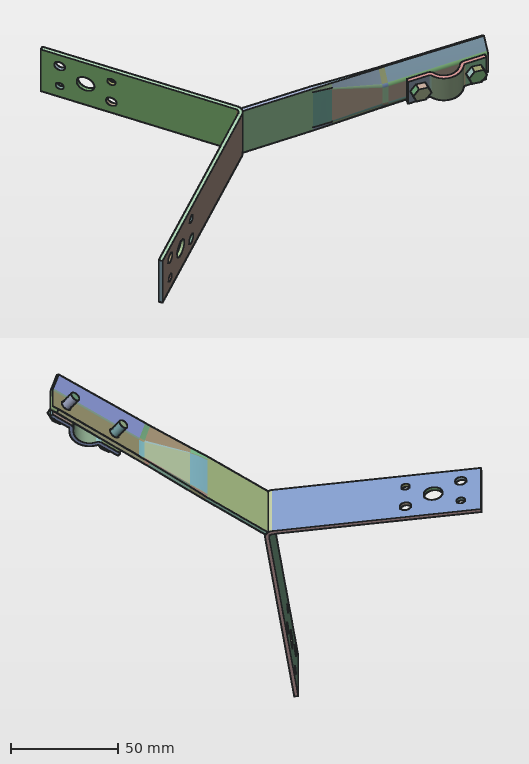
import cadquery as cq
import math


total_length = 193.9
total_span = 144.3
strip_height = 29.5
sheet = 2.0
half_height = strip_height / 2

leg_half_angle = math.radians(45)
foot_bend_inner_radius = 2.0
foot_bend_outer_radius = foot_bend_inner_radius + sheet
leg_corner_offset = sheet * math.cos(leg_half_angle)
outer_corner_y = total_span / 2 + leg_corner_offset
bend_centre_y = outer_corner_y - foot_bend_outer_radius / math.sin(leg_half_angle)

centre_hole_diameter = 9.0
centre_hole_from_tip = 22.5
large_hole_diameter = 5.5
small_hole_diameter = 4.0
hole_half_spacing_along = 13.0
hole_half_spacing_across = 7.0

stem_back_x = -sheet / 2
channel_depth = 6.5
channel_bend_inner_radius = 2.0
least_bend_half_width = 0.2
web_bend_start_y = 143.5
ramp_top_y = 140.5
ramp_foot_y = 116.7
flat_start_y = 107.2

channel_fold_z = 6.0
ramp_foot_fold_z = 11.2
run_out_fold_z = 11.8
flat_fold_z = 12.2
end_rim_z = 12.5
web_bend_rim_z = 13.2
ramp_foot_rim_z = 14.2

strap_back_x = 6.5
strap_front_x = strap_back_x + sheet
strap_centre_y = 172.0
strap_length = 39.5
strap_height = 15.5
arch_centre_x = 4.3
arch_inner_radius = 7.5
arch_outer_radius = arch_inner_radius + sheet
strap_bend_inner_radius = 1.0
strap_bend_outer_radius = strap_bend_inner_radius + sheet

screw_spacing = 28.1
screw_diameter = 4.7
screw_hole_diameter = 5.2
screw_tip_x = -3.3
head_across_flats = 8.1
head_thickness = 3.5
head_turn = -8.0
screw_positions = [strap_centre_y + side * screw_spacing / 2 for side in (-1, 1)]


def cylinder_along_x(diameter, x_start, x_end, y):
    return cq.Workplane("YZ", origin=(x_start, y, 0)).circle(diameter / 2).extrude(x_end - x_start)


def leg_holes(side):
    """Cutting cylinders for the five holes of one leg; side is -1 for the -X leg and 1 for the +X leg."""
    along = cq.Vector(-side * math.sin(leg_half_angle), math.cos(leg_half_angle), 0)
    normal = cq.Vector(side * math.cos(leg_half_angle), math.sin(leg_half_angle), 0)
    tip = cq.Vector(side * (total_span / 2 - leg_corner_offset), 0, 0)
    holes = [(0, 0, centre_hole_diameter)]
    for toward_tip in (-1, 1):
        for up in (-1, 1):
            diameter = large_hole_diameter if toward_tip == up else small_hole_diameter
            holes.append((-toward_tip * hole_half_spacing_along, up * hole_half_spacing_across, diameter))
    cutter_length = 3 * sheet
    cutters = []
    for shift, z, diameter in holes:
        face_point = tip + along * (centre_hole_from_tip + shift) + cq.Vector(0, 0, z)
        start = face_point - normal * sheet
        cutters.append(cq.Solid.makeCylinder(diameter / 2, cutter_length, start, normal))
    return cutters


def make_foot():
    half_span = total_span / 2
    inner_tip_x = half_span - leg_corner_offset
    inner_corner_y = inner_tip_x
    foot = (
        cq.Workplane("XY", origin=(0, 0, -half_height))
        .moveTo(0, outer_corner_y)
        .lineTo(half_span, leg_corner_offset)
        .lineTo(inner_tip_x, 0)
        .lineTo(0, inner_corner_y)
        .lineTo(-inner_tip_x, 0)
        .lineTo(-half_span, leg_corner_offset)
        .close()
        .extrude(strip_height)
    )
    foot = foot.edges(cq.NearestToPointSelector((0, outer_corner_y, 0))).fillet(foot_bend_outer_radius)
    foot = foot.edges(cq.NearestToPointSelector((0, inner_corner_y, 0))).fillet(foot_bend_inner_radius)
    for side in (-1, 1):
        for cutter in leg_holes(side):
            foot = foot.cut(cq.Workplane(cutter))
    return foot


def channel_section(y, depth, fold_z, rim_z):
    """Closed outline of the stem at one Y; depth is the web offset from the flat strip."""
    web_x = stem_back_x + depth
    angle = math.atan2(depth, rim_z - fold_z)
    bend_half_width = max(channel_bend_inner_radius * math.tan(angle / 2), least_bend_half_width)

    def point(x, z):
        return cq.Vector(x, y, z)

    def bend(side, offset):
        """Bend edge from web to flange, on the inside (offset 0) or the outside (offset sheet)."""
        web_end = point(web_x + offset, side * (fold_z - bend_half_width))
        flange_start = point(
            web_x - bend_half_width * math.sin(angle) + offset * math.cos(angle),
            side * (fold_z + bend_half_width * math.cos(angle) + offset * math.sin(angle)),
        )
        if depth == 0:
            return cq.Edge.makeLine(web_end, flange_start)
        inner_radius = bend_half_width / math.tan(angle / 2)
        radius = inner_radius + offset
        middle = point(
            web_x - inner_radius + radius * math.cos(angle / 2),
            side * (fold_z - bend_half_width + radius * math.sin(angle / 2)),
        )
        return cq.Edge.makeThreePointArc(web_end, middle, flange_start)

    inner_bends = [bend(side, 0) for side in (-1, 1)]
    outer_bends = [bend(side, sheet) for side in (-1, 1)]
    web_inner = cq.Edge.makeLine(inner_bends[0].startPoint(), inner_bends[1].startPoint())
    web_outer = cq.Edge.makeLine(outer_bends[0].startPoint(), outer_bends[1].startPoint())
    edges = [web_inner, web_outer, *inner_bends, *outer_bends]
    for side, inner_bend, outer_bend in zip((-1, 1), inner_bends, outer_bends):
        rim_inner = point(stem_back_x, side * rim_z)
        rim_outer = point(
            stem_back_x + sheet * math.cos(angle),
            side * (rim_z + sheet * math.sin(angle)),
        )
        edges.append(cq.Edge.makeLine(inner_bend.endPoint(), rim_inner))
        edges.append(cq.Edge.makeLine(rim_inner, rim_outer))
        edges.append(cq.Edge.makeLine(rim_outer, outer_bend.endPoint()))
    return cq.Wire.assembleEdges(edges)


def make_stem():
    full_depth = channel_depth - sheet
    web_bend_length = web_bend_start_y - ramp_top_y
    run_out_length = ramp_foot_y - flat_start_y
    ramp_slope = full_depth / (ramp_top_y - ramp_foot_y + (web_bend_length + run_out_length) / 2)

    web_bend_drop = ramp_slope * web_bend_length / 2
    run_out_rise = ramp_slope * run_out_length / 2

    end = channel_section(total_length, full_depth, channel_fold_z, end_rim_z)
    bend_start = channel_section(web_bend_start_y, full_depth, channel_fold_z, web_bend_rim_z)
    bend_middle = channel_section(
        (web_bend_start_y + ramp_top_y) / 2,
        full_depth - web_bend_drop / 4,
        channel_fold_z,
        web_bend_rim_z,
    )
    ramp_top = channel_section(ramp_top_y, full_depth - web_bend_drop, channel_fold_z, web_bend_rim_z)
    ramp_foot = channel_section(ramp_foot_y, run_out_rise, ramp_foot_fold_z, ramp_foot_rim_z)
    run_out_middle = channel_section(
        (ramp_foot_y + flat_start_y) / 2,
        run_out_rise / 4,
        run_out_fold_z,
        (ramp_foot_rim_z + half_height) / 2,
    )
    flat_start = channel_section(flat_start_y, 0, flat_fold_z, half_height)

    stem = cq.Workplane("XY").box(sheet, flat_start_y - bend_centre_y, strip_height).translate(
        (0, (flat_start_y + bend_centre_y) / 2, 0)
    )
    stem = stem.union(cq.Workplane(cq.Solid.makeLoft([end, bend_start], True)))
    stem = stem.union(cq.Workplane(cq.Solid.makeLoft([bend_start, bend_middle, ramp_top], False)))
    stem = stem.union(cq.Workplane(cq.Solid.makeLoft([ramp_top, ramp_foot], True)))
    stem = stem.union(cq.Workplane(cq.Solid.makeLoft([ramp_foot, run_out_middle, flat_start], False)))

    foot_bend = (
        cq.Workplane("XY", origin=(0, bend_centre_y, -half_height))
        .circle(foot_bend_outer_radius)
        .extrude(strip_height)
    )
    stem = stem.cut(foot_bend)
    for y in screw_positions:
        stem = stem.cut(cylinder_along_x(screw_hole_diameter, stem_back_x, strap_back_x, y))
    return stem


def make_strap():
    inner_half_chord = math.sqrt(arch_inner_radius**2 - (strap_back_x - arch_centre_x) ** 2)
    outer_half_chord = math.sqrt(arch_outer_radius**2 - (strap_front_x - arch_centre_x) ** 2)
    half_length = strap_length / 2
    strap = (
        cq.Workplane("XY", origin=(0, strap_centre_y, -strap_height / 2))
        .moveTo(strap_back_x, -half_length)
        .lineTo(strap_back_x, -inner_half_chord)
        .threePointArc((arch_centre_x + arch_inner_radius, 0), (strap_back_x, inner_half_chord))
        .lineTo(strap_back_x, half_length)
        .lineTo(strap_front_x, half_length)
        .lineTo(strap_front_x, outer_half_chord)
        .threePointArc((arch_centre_x + arch_outer_radius, 0), (strap_front_x, -outer_half_chord))
        .lineTo(strap_front_x, -half_length)
        .close()
        .extrude(strap_height)
    )
    for side in (-1, 1):
        inner_corner = (strap_back_x, strap_centre_y + side * inner_half_chord, 0)
        outer_corner = (strap_front_x, strap_centre_y + side * outer_half_chord, 0)
        strap = strap.edges(cq.NearestToPointSelector(inner_corner)).fillet(strap_bend_outer_radius)
        strap = strap.edges(cq.NearestToPointSelector(outer_corner)).fillet(strap_bend_inner_radius)
    for y in screw_positions:
        strap = strap.cut(cylinder_along_x(screw_hole_diameter, strap_back_x, strap_front_x, y))
    return strap


def make_screw(y):
    shank = cylinder_along_x(screw_diameter, screw_tip_x, strap_front_x, y)
    head = (
        cq.Workplane("YZ", origin=(strap_front_x, y, 0))
        .transformed(rotate=(0, 0, head_turn))
        .polygon(6, head_across_flats / math.cos(math.pi / 6))
        .extrude(head_thickness)
    )
    return shank.union(head)


foot = make_foot()
stem = make_stem()
strap = make_strap()
screws = [make_screw(y) for y in screw_positions]

result = cq.Compound.makeCompound([foot.val(), stem.val(), strap.val(), *[screw.val() for screw in screws]])